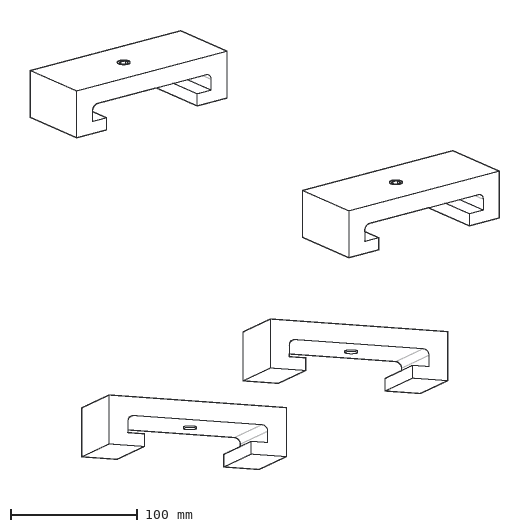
import cadquery as cq
import math

overall_span = 410.0
bracket_width = 60.0
bracket_length = 150.0
bracket_height = 39.5
bracket_spacing = overall_span - bracket_width

top_thickness = 15.0
wall_thickness = 16.0
lip_thickness = 10.2
lip_reach = 30.0
corner_radius = 5.0
cavity_length = bracket_length - 2 * wall_thickness
opening_length = bracket_length - 2 * lip_reach
ceiling_height = bracket_height - top_thickness

screw_diameter = 10.2
screw_offset_y = -5.0
head_recess = 0.5
tip_protrusion = 1.2
socket_across_flats = 6.0
socket_across_corners = socket_across_flats / math.cos(math.pi / 6)
socket_depth = 5.0
screw_top = bracket_height - head_recess
screw_bottom = ceiling_height - tip_protrusion


def make_channel():
    """Block with a wide cavity above a narrower bottom opening."""
    block = cq.Workplane("XY").box(
        bracket_width, bracket_length, bracket_height, centered=(True, True, False)
    )
    cavity = (
        cq.Workplane("XY", origin=(0, 0, lip_thickness))
        .box(
            bracket_width,
            cavity_length,
            ceiling_height - lip_thickness,
            centered=(True, True, False),
        )
        .edges("|X and >Z")
        .fillet(corner_radius)
    )
    opening = cq.Workplane("XY").box(
        bracket_width, opening_length, ceiling_height, centered=(True, True, False)
    )
    return block.cut(cavity).cut(opening)


def add_screw(channel):
    """Recess the screw head, leave its tip below the ceiling and cut the hex socket."""
    recess = (
        cq.Workplane("XY", origin=(0, screw_offset_y, screw_top))
        .circle(screw_diameter / 2)
        .extrude(head_recess)
    )
    screw = (
        cq.Workplane("XY", origin=(0, screw_offset_y, screw_bottom))
        .circle(screw_diameter / 2)
        .extrude(screw_top - screw_bottom)
    )
    socket = (
        cq.Workplane("XY", origin=(0, screw_offset_y, screw_top))
        .polygon(6, socket_across_corners)
        .extrude(-socket_depth)
    )
    return channel.cut(recess).union(screw).cut(socket)


def make_bracket(center_x):
    return add_screw(make_channel()).translate((center_x, 0, 0))


brackets = []
for side in (-1, 1):
    brackets.append(make_bracket(side * bracket_spacing / 2))

result = cq.Compound.makeCompound([bracket.val() for bracket in brackets])